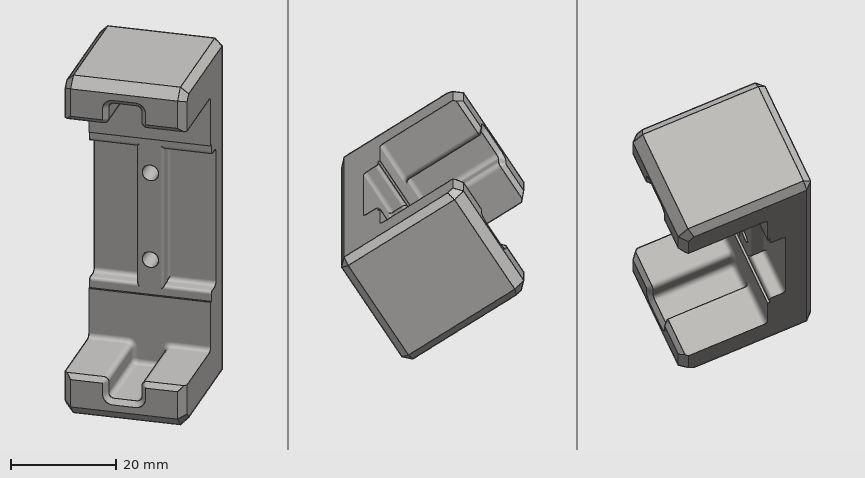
import cadquery as cq
import math

width = 24.0
depth = 27.5
height = 70.0
front_y = -depth / 2
back_y = depth / 2

nose_chamfer = 2.0
side_chamfer = 1.5

arm_thickness = 8.7
web_thickness = 9.6
opening_height = height - 2 * arm_thickness
opening_length = depth - web_thickness
slot_width = 6.5
slot_depth = 4.3
slot_edge_radius = 1.05
root_radius = 1.0
lip_chamfer = 1.0

relief_height = 32.4
relief_depth = 0.5
relief_y = back_y - web_thickness + relief_depth

pocket_depth = 3.2
pocket_mouth_height = 29.7
pocket_floor_y = relief_y + pocket_depth
rib_width = 4.3
rib_rim_radius = 0.5
rib_foot_radius = 0.5
end_rim_radius = 0.6
end_foot_radius = 0.9

hole_diameter = 3.2
hole_spacing = 18.0

arc_mid_inset = 1 - math.sqrt(0.5)

overshoot = 3.5
selection_margin = 0.1


def make_body():
    body = cq.Workplane("XY").box(width, depth, height)
    body = body.edges("|X and <Y").chamfer(nose_chamfer)
    return body.edges("(not |X) or >Y").chamfer(side_chamfer)


def cut_opening(body):
    """Cut the gap between the arms together with the slots, leaving a filleted root."""
    cutter_width = width + 2 * overshoot
    gap = cq.Workplane("XY").box(cutter_width, opening_length, opening_height)
    slots = cq.Workplane("XY").box(slot_width, opening_length, opening_height + 2 * slot_depth)
    inside_width = cq.selectors.BoxSelector((-width / 2, -depth, -height), (width / 2, depth, height))
    cutter = gap.union(slots).edges("|Y").edges(inside_width).fillet(slot_edge_radius)
    cutter = cutter.faces(">Y").edges().fillet(root_radius)
    return body.cut(cutter.translate((0, front_y + opening_length / 2, 0)))


def chamfer_lips(body):
    """Chamfer the inner front edges of both arms, following the slots."""
    inner_x = width / 2 - side_chamfer - selection_margin
    inner_z = height / 2 - nose_chamfer - selection_margin
    inner_edges = cq.selectors.BoxSelector((-inner_x, -depth, -inner_z), (inner_x, depth, inner_z))
    return body.faces("<Y").edges(inner_edges).chamfer(lip_chamfer)


def cut_relief(body):
    cutter = cq.Workplane("XY").box(width, web_thickness, relief_height)
    return body.cut(cutter.translate((0, relief_y - web_thickness / 2, 0)))


def pocket_section(plane, half_mouth, rim_radius, foot_radius):
    """Symmetric pocket outline: flared by a rounded rim at the mouth, rounded at the floor."""
    half_wall = half_mouth - rim_radius
    half_floor = half_wall - foot_radius
    rim_inset = rim_radius * arc_mid_inset
    foot_inset = foot_radius * arc_mid_inset
    return (
        cq.Workplane(plane)
        .moveTo(0, relief_y)
        .lineTo(half_mouth, relief_y)
        .threePointArc((half_wall + rim_inset, relief_y + rim_inset), (half_wall, relief_y + rim_radius))
        .lineTo(half_wall, pocket_floor_y - foot_radius)
        .threePointArc((half_wall - foot_inset, pocket_floor_y - foot_inset), (half_floor, pocket_floor_y))
        .lineTo(0, pocket_floor_y)
        .mirrorY()
    )


def cut_pockets(body):
    """Each pocket runs out through the side; its rounded edges meet in mitred corners."""
    mouth_width = width / 2 + overshoot - rib_width / 2
    rib_section = pocket_section("XY", mouth_width / 2, rib_rim_radius, rib_foot_radius)
    rib_prism = rib_section.extrude(height / 2, both=True)
    rib_prism = rib_prism.translate(((rib_width + mouth_width) / 2, 0, 0))
    end_section = pocket_section("ZY", pocket_mouth_height / 2, end_rim_radius, end_foot_radius)
    end_prism = end_section.extrude(width, both=True)
    pocket = rib_prism.intersect(end_prism)
    return body.cut(pocket).cut(pocket.mirror("YZ"))


def drill_holes(body):
    for z in (-hole_spacing / 2, hole_spacing / 2):
        hole = cq.Workplane("XZ").center(0, z).circle(hole_diameter / 2).extrude(depth, both=True)
        body = body.cut(hole)
    return body


result = make_body()
result = cut_opening(result)
result = chamfer_lips(result)
result = cut_relief(result)
result = cut_pockets(result)
result = drill_holes(result)